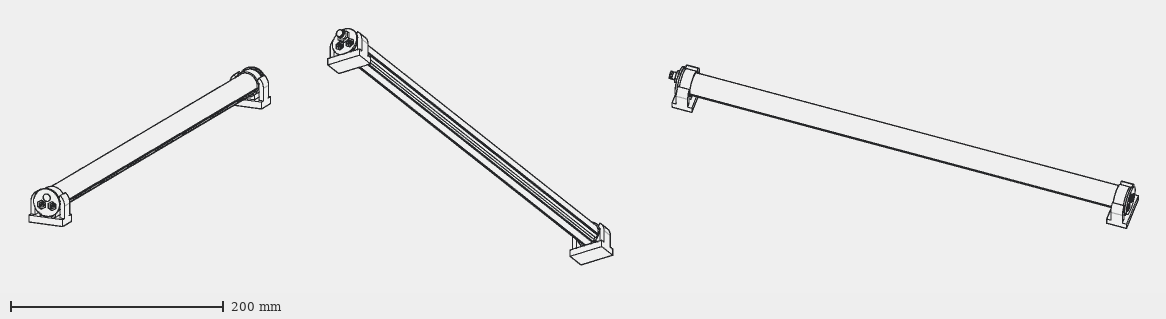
import cadquery as cq
import math

LENGTH = 457.0
BRACKET_LENGTH = 19.5
CONNECTOR_REACH = 7.5
NEAR_END = -LENGTH / 2
FAR_END = LENGTH / 2 - CONNECTOR_REACH
MIDDLE_Y = (NEAR_END + FAR_END) / 2

LAMP_HEIGHT = 34.5
FLANGE_DIAMETER = 27.0
FLANGE_RADIUS = FLANGE_DIAMETER / 2
FLANGE_THICKNESS = 2.0
FLANGE_SETBACK = 1.6
AXIS_Z = LAMP_HEIGHT - FLANGE_RADIUS
COLLAR_RADIUS = 12.5
NECK_DEPTH = 0.25
NECK_RADIUS = COLLAR_RADIUS - NECK_DEPTH
NECK_LENGTH = 2.0
TUBE_RADIUS = 11.0

SEAM_GROOVE = (18.0, 1.5, 0.5)
SLOT_GROOVE = (44.0, 2.5, 1.5)
LOWER_GROOVE = (64.0, 1.0, 0.5)

PORT_RADIUS = 3.5
PORT_DEPTH = 1.0
PORT_Z = 25.5
SCREW_X = 5.5
SCREW_DROP = 2.7
SCREW_Z = AXIS_Z - SCREW_DROP
SCREW_POCKET_RADIUS = 4.35
SCREW_POCKET_DEPTH = 1.0
SCREW_HEAD_RADIUS = 2.5
SCREW_HEAD_HEIGHT = 0.5
SCREW_SOCKET_RADIUS = 1.0

BRACKET_WIDTH = 35.0
FOOT_HEIGHT = 7.0
ARM_LENGTH = 11.5
ARM_THICKNESS = 4.5
ARM_INNER_X = BRACKET_WIDTH / 2 - ARM_THICKNESS
ARM_BEND_Z = 19.0
ARM_TIP_Z = 29.0
HOOK_X = 11.0
HOOK_Z = 26.0
HOOK_ROOT_Z = 23.0
SADDLE_WIDTH = 16.5
SADDLE_TOP_Z = 12.0

NUT_CORNER_RADIUS = 6.0
NUT_THICKNESS = 2.95
THREAD_GROOVE_DEPTH = 0.5
THREAD_GROOVE_WIDTH = 1.5
THREAD_LEAD = 1.5

ARM_SETBACK = (BRACKET_LENGTH - ARM_LENGTH) / 2
FLANGE_FACE_Y = NEAR_END + FLANGE_SETBACK
COLLAR_INNER_Y = NEAR_END + BRACKET_LENGTH - ARM_SETBACK
FAR_FLANGE_FACE_Y = FAR_END - FLANGE_SETBACK


def section_at(y):
    """XZ workplane at the given Y; a negative extrude runs toward +Y."""
    return cq.Workplane(cq.Plane(origin=(0, y, 0), xDir=(1, 0, 0), normal=(0, -1, 0)))


def cylinder(x, z, radius, start_y, end_y):
    """Round rod along Y."""
    return section_at(start_y).center(x, z).circle(radius).extrude(start_y - end_y)


def hexagon(x, z, corner_radius, start_y, end_y):
    """Hexagonal prism along Y with corners at its top and bottom."""
    corners = []
    for corner in range(6):
        angle = corner * math.pi / 3
        corners.append((x + corner_radius * math.sin(angle), z + corner_radius * math.cos(angle)))
    return section_at(start_y).polyline(corners).close().extrude(start_y - end_y)


def block(width, start_y, length, bottom_z, top_z):
    """Box centred on X = 0."""
    box = cq.Workplane("XY").box(width, length, top_z - bottom_z, centered=(True, False, False))
    return box.translate((0, start_y, bottom_z))


def to_far_end(shape):
    """Mirror a near-end shape to the far end of the lamp."""
    return shape.mirror("XZ", (0, MIDDLE_Y, 0))


def make_tube():
    """Solid tube between the caps, with the same grooves along both sides."""
    length = 2 * (MIDDLE_Y - COLLAR_INNER_Y)
    tube = cylinder(0, AXIS_Z, TUBE_RADIUS, COLLAR_INNER_Y, COLLAR_INNER_Y + length)
    for angle, width, depth in (SEAM_GROOVE, SLOT_GROOVE, LOWER_GROOVE):
        bar = cq.Workplane("XY").box(2 * depth, length, width)
        groove = bar.translate((TUBE_RADIUS, MIDDLE_Y, 0))
        for turn in (angle, 180 - angle):
            tube = tube.cut(groove.rotate((0, 0, 0), (0, 1, 0), turn).translate((0, 0, AXIS_Z)))
    return tube


def make_cap():
    """End cap at the near end: collar, neck, flange, connector port and two sunk screws."""
    face = FLANGE_FACE_Y
    flange_back = face + FLANGE_THICKNESS
    collar_start = flange_back + NECK_LENGTH
    cap = cylinder(0, AXIS_Z, FLANGE_RADIUS, face, flange_back)
    cap = cap.union(cylinder(0, AXIS_Z, NECK_RADIUS, flange_back, collar_start))
    cap = cap.union(cylinder(0, AXIS_Z, COLLAR_RADIUS, collar_start, COLLAR_INNER_Y))
    cap = cap.cut(cylinder(0, PORT_Z, PORT_RADIUS, face, face + PORT_DEPTH))
    floor = face + SCREW_POCKET_DEPTH
    for x in (-SCREW_X, SCREW_X):
        head_face = floor - SCREW_HEAD_HEIGHT
        cap = cap.cut(hexagon(x, SCREW_Z, SCREW_POCKET_RADIUS, face, floor))
        cap = cap.union(cylinder(x, SCREW_Z, SCREW_HEAD_RADIUS, head_face, floor))
        cap = cap.cut(hexagon(x, SCREW_Z, SCREW_SOCKET_RADIUS, head_face, floor))
    return cap


def make_lamp():
    """Tube closed by an end cap at each end."""
    cap = make_cap()
    return make_tube().union(cap).union(to_far_end(cap))


def make_bracket():
    """Snap-in bracket at the near end: foot, saddle and two hooked arms."""
    arm_start = NEAR_END + ARM_SETBACK
    half_width = BRACKET_WIDTH / 2
    foot = block(BRACKET_WIDTH, NEAR_END, BRACKET_LENGTH, 0, FOOT_HEIGHT)
    saddle = block(SADDLE_WIDTH, arm_start, ARM_LENGTH, FOOT_HEIGHT, SADDLE_TOP_Z)
    arm = (
        section_at(arm_start)
        .moveTo(ARM_INNER_X, FOOT_HEIGHT)
        .lineTo(half_width, FOOT_HEIGHT)
        .lineTo(half_width, ARM_BEND_Z)
        .tangentArcPoint((ARM_INNER_X, ARM_TIP_Z), relative=False)
        .lineTo(HOOK_X, HOOK_Z)
        .lineTo(ARM_INNER_X, HOOK_ROOT_Z)
        .close()
        .extrude(-ARM_LENGTH)
    )
    bracket = foot.union(saddle).union(arm).union(arm.mirror("YZ"))
    return bracket.cut(cylinder(0, AXIS_Z, COLLAR_RADIUS, NEAR_END, NEAR_END + BRACKET_LENGTH))


def make_connector():
    """Round threaded plug seated in the far cap's port, with a hexagonal nut against the flange."""
    tip = LENGTH / 2
    nut_end = FAR_FLANGE_FACE_Y + NUT_THICKNESS
    plug = cylinder(0, PORT_Z, PORT_RADIUS, FAR_FLANGE_FACE_Y - PORT_DEPTH, tip)
    groove_end = tip - THREAD_LEAD
    groove_start = groove_end - THREAD_GROOVE_WIDTH
    core = cylinder(0, PORT_Z, PORT_RADIUS - THREAD_GROOVE_DEPTH, groove_start, groove_end)
    groove = cylinder(0, PORT_Z, PORT_RADIUS, groove_start, groove_end).cut(core)
    nut = hexagon(0, PORT_Z, NUT_CORNER_RADIUS, FAR_FLANGE_FACE_Y, nut_end)
    return plug.cut(groove).union(nut)


lamp = make_lamp()
connector = make_connector()
near_bracket = make_bracket()
brackets = [near_bracket, to_far_end(near_bracket)]

result = cq.Compound.makeCompound(
    [lamp.val(), connector.val(), *[bracket.val() for bracket in brackets]]
)